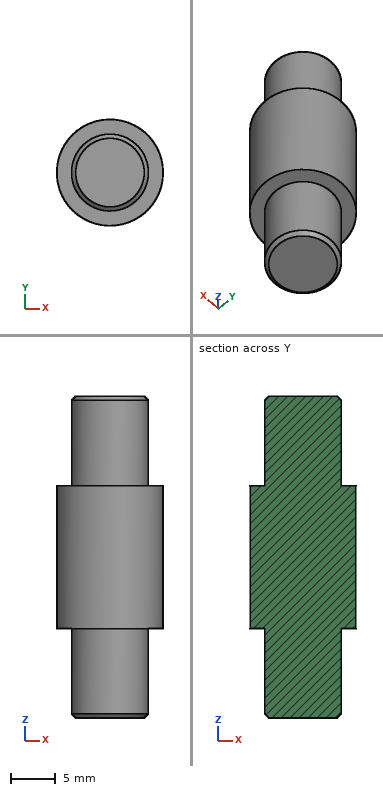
import cadquery as cq

total_length = 36.0
body_diameter = 11.9
journal_diameter = 8.6
journal_length = 10.0
end_chamfer = 0.45

body_length = total_length - 2 * journal_length

pin = (
    cq.Workplane("XY")
    .cylinder(total_length, journal_diameter / 2)
    .faces("<Z or >Z")
    .chamfer(end_chamfer)
)

body = cq.Workplane("XY").cylinder(body_length, body_diameter / 2)

result = pin.union(body)